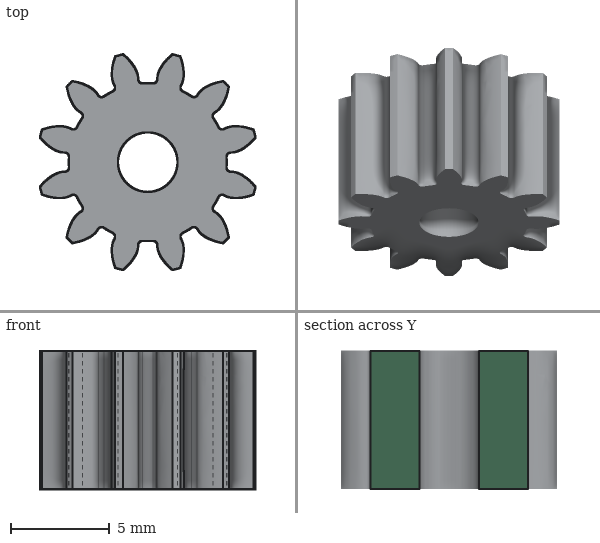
import cadquery as cq
import math

module = 0.8
teeth = 12
pressure_angle = 22
tooth_thinning = 0.15
tip_radius = 5.6
root_radius = 4.0
root_fillet = 0.2
bore_diameter = 3.0
face_width = 7.0
flank_points = 6

pitch_radius = module * teeth / 2
base_radius = pitch_radius * math.cos(math.radians(pressure_angle))
tooth_pitch = 2 * math.pi / teeth
first_tooth_angle = tooth_pitch / 2
pitch_half_angle = tooth_pitch / 4 - math.radians(tooth_thinning)


def involute(contact_angle):
    return math.tan(contact_angle) - contact_angle


def tooth_half_angle(radius):
    """Half of the angle a tooth spans at a radius; constant inside the base circle."""
    contact_angle = math.acos(min(1.0, base_radius / radius))
    return pitch_half_angle + involute(math.radians(pressure_angle)) - involute(contact_angle)


def polar(radius, angle):
    return (radius * math.cos(angle), radius * math.sin(angle))


base_half_angle = tooth_half_angle(base_radius)
fillet_center_radius = root_radius + root_fillet
fillet_span = math.asin(root_fillet / fillet_center_radius)
fillet_half_angle = base_half_angle + fillet_span
fillet_top_radius = fillet_center_radius * math.cos(fillet_span)
flank_step = (tip_radius - base_radius) / (flank_points - 1)
involute_radii = [base_radius + flank_step * i for i in range(flank_points)]
flank_radii = [fillet_top_radius] + involute_radii


def fillet_middle(axis_angle, side):
    """Midpoint of a root fillet; side is -1 or +1 about the tooth axis."""
    center_angle = axis_angle + side * fillet_half_angle
    center_x, center_y = polar(fillet_center_radius, center_angle)
    middle_angle = center_angle + math.pi + side * (math.pi / 2 - fillet_span) / 2
    offset_x, offset_y = polar(root_fillet, middle_angle)
    return (center_x + offset_x, center_y + offset_y)


def add_tooth(outline, axis_angle):
    """Add one tooth, then the root arc that leads to the next one."""
    rising = [polar(r, axis_angle - tooth_half_angle(r)) for r in flank_radii]
    falling = [polar(r, axis_angle + tooth_half_angle(r)) for r in reversed(flank_radii)]
    fillet_end = polar(root_radius, axis_angle + fillet_half_angle)
    root_middle = polar(root_radius, axis_angle + tooth_pitch / 2)
    next_start = polar(root_radius, axis_angle + tooth_pitch - fillet_half_angle)

    outline = outline.threePointArc(fillet_middle(axis_angle, -1), rising[0])
    outline = outline.spline(rising[1:], includeCurrent=True)
    outline = outline.threePointArc(polar(tip_radius, axis_angle), falling[0])
    outline = outline.spline(falling[1:], includeCurrent=True)
    outline = outline.threePointArc(fillet_middle(axis_angle, 1), fillet_end)
    return outline.threePointArc(root_middle, next_start)


def toothed_body():
    start = polar(root_radius, first_tooth_angle - fillet_half_angle)
    outline = cq.Workplane("XY").moveTo(*start)
    for i in range(teeth):
        outline = add_tooth(outline, first_tooth_angle + i * tooth_pitch)
    return outline.close().extrude(face_width)


def bore():
    return cq.Workplane("XY").circle(bore_diameter / 2).extrude(face_width)


result = toothed_body().cut(bore())